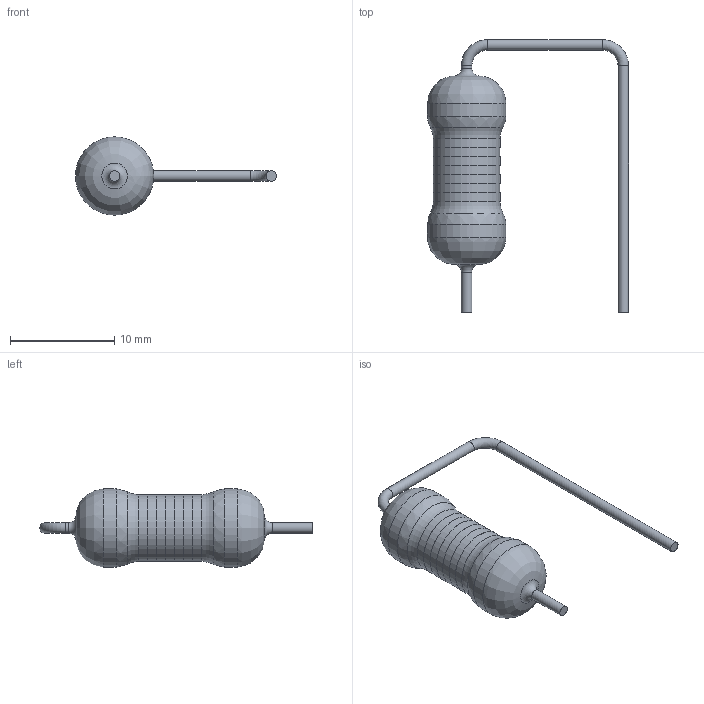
import cadquery as cq
import math


lead_radius = 0.5
lead_pitch = 15.0
bend_radius = 2.0
overall_length = 26.1
crossbar_y = overall_length - lead_radius
bend_start_y = crossbar_y - bend_radius

body_center_y = 13.6
bulb_radius = 3.75
bulb_outer_end = 6.42
bulb_inner_end = 5.18
end_rounding = 2.6
lead_fillet = 0.75

waist_radius = 3.19
band_radius = 3.195
band_count = 4
waist_half_length = 3.02
band_width = 2 * waist_half_length / (2 * band_count - 1)


def arc_point(center, radius, angle):
    """Point at an angle (radians) on a circle in the radius / length plane."""
    return (center[0] + radius * math.cos(angle), center[1] + radius * math.sin(angle))


def make_body():
    """Both bulbs, the waist, the lead fillets and the straight stubs, revolved about Y."""
    rounding_x = bulb_radius - end_rounding
    fillet_x = lead_radius + lead_fillet
    touch_angle = math.acos((fillet_x - rounding_x) / (end_rounding + lead_fillet))
    fillet_rise = (end_rounding + lead_fillet) * math.sin(touch_angle)
    rounding_center = (rounding_x, bulb_outer_end)
    fillet_center = (fillet_x, bulb_outer_end + fillet_rise)
    rounding_mid = arc_point(rounding_center, end_rounding, touch_angle / 2)
    rounding_end = arc_point(rounding_center, end_rounding, touch_angle)
    fillet_mid = arc_point(fillet_center, lead_fillet, math.pi + touch_angle / 2)
    fillet_end = (lead_radius, fillet_center[1])

    blend_point = (
        (band_radius + bulb_radius) / 2,
        (waist_half_length + bulb_inner_end) / 2,
    )

    def upper(point):
        return (point[0], body_center_y + point[1])

    def lower(point):
        return (point[0], body_center_y - point[1])

    profile = (
        cq.Workplane("XY")
        .moveTo(0, 0)
        .lineTo(lead_radius, 0)
        .lineTo(*lower(fillet_end))
        .threePointArc(lower(fillet_mid), lower(rounding_end))
        .threePointArc(lower(rounding_mid), lower((bulb_radius, bulb_outer_end)))
        .lineTo(*lower((bulb_radius, bulb_inner_end)))
        .tangentArcPoint(lower(blend_point), relative=False)
        .tangentArcPoint(lower((band_radius, waist_half_length)), relative=False)
    )

    for band in range(band_count):
        band_start = body_center_y - waist_half_length + 2 * band * band_width
        band_end = band_start + band_width
        if band > 0:
            profile = profile.lineTo(waist_radius, band_start).lineTo(band_radius, band_start)
        profile = profile.lineTo(band_radius, band_end)
        if band < band_count - 1:
            profile = profile.lineTo(waist_radius, band_end)

    profile = (
        profile.tangentArcPoint(upper(blend_point), relative=False)
        .tangentArcPoint(upper((bulb_radius, bulb_inner_end)), relative=False)
        .lineTo(*upper((bulb_radius, bulb_outer_end)))
        .threePointArc(upper(rounding_mid), upper(rounding_end))
        .threePointArc(upper(fillet_mid), upper(fillet_end))
        .lineTo(lead_radius, bend_start_y)
        .lineTo(0, bend_start_y)
        .close()
    )
    return profile.revolve(360, (0, 0, 0), (0, 1, 0))


def make_folded_lead():
    """Round wire that turns over the body end and runs back parallel to the body."""
    path = (
        cq.Workplane("XY")
        .moveTo(0, bend_start_y)
        .radiusArc((bend_radius, crossbar_y), bend_radius)
        .lineTo(lead_pitch - bend_radius, crossbar_y)
        .radiusArc((lead_pitch, bend_start_y), bend_radius)
        .lineTo(lead_pitch, 0)
    )
    section = cq.Workplane("XZ", origin=(0, bend_start_y, 0)).circle(lead_radius)
    return section.sweep(path)


result = make_body().union(make_folded_lead())